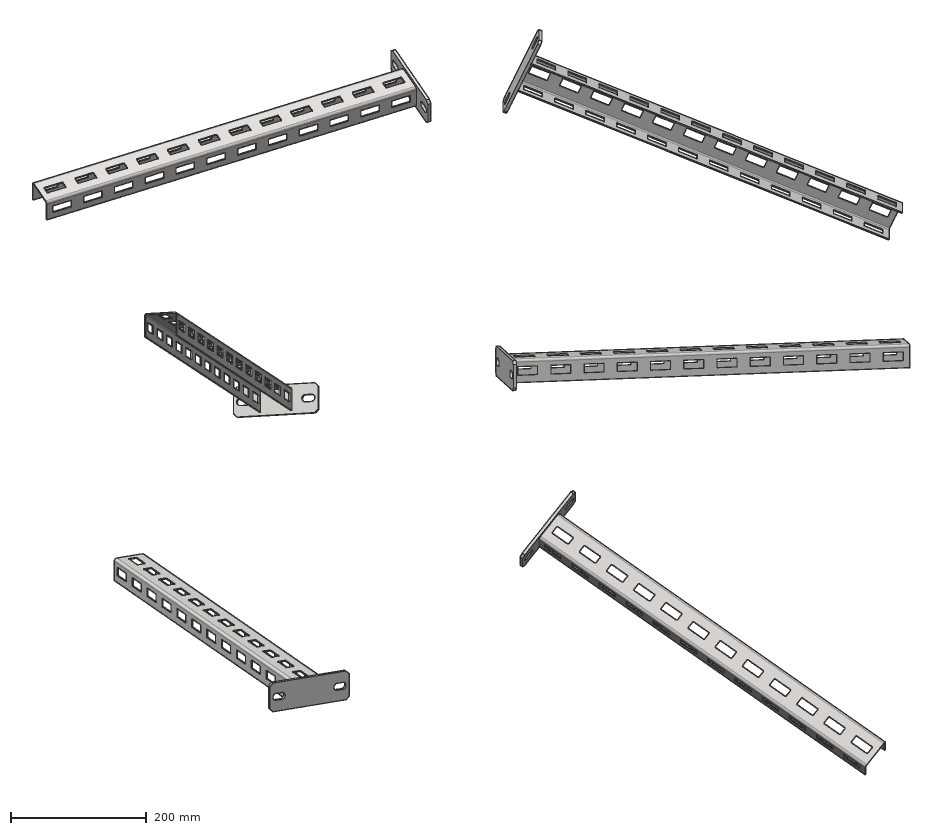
import cadquery as cq


PLATE_WIDTH = 130.0
PLATE_HEIGHT = 45.0
PLATE_THICKNESS = 5.0
PLATE_CORNER_CHAMFER = 5.0
MOUNT_SLOT_SPACING = 100.0
MOUNT_SLOT_LENGTH = 20.0
MOUNT_SLOT_HEIGHT = 11.0

ARM_LENGTH = 600.0
ARM_WIDTH = 50.0
ARM_HEIGHT = 35.0
SHEET_THICKNESS = 2.0
BEND_OUTER_RADIUS = 4.0
BEND_INNER_RADIUS = BEND_OUTER_RADIUS - SHEET_THICKNESS

SLOT_COUNT = 12
SLOT_PITCH = ARM_LENGTH / SLOT_COUNT
SLOT_LENGTH = 30.0
SLOT_WIDTH = 13.0
SLOT_CORNER_RADIUS = 1.0


def make_wall_plate():
    """Flat plate with cut corners and a mounting slot on each side of the arm."""
    plate = (
        cq.Workplane("XY")
        .box(PLATE_WIDTH, PLATE_THICKNESS, PLATE_HEIGHT)
        .translate((0, PLATE_THICKNESS / 2, 0))
        .edges("|Y")
        .chamfer(PLATE_CORNER_CHAMFER)
    )
    mount_slots = (
        cq.Workplane("XZ")
        .rarray(MOUNT_SLOT_SPACING, 1, 2, 1)
        .slot2D(MOUNT_SLOT_LENGTH, MOUNT_SLOT_HEIGHT)
        .extrude(-PLATE_THICKNESS)
    )
    return plate.cut(mount_slots)


def rounded_bar(width, bottom, top, bend_radius):
    """Bar as long as the arm, with its two top edges rounded."""
    height = top - bottom
    return (
        cq.Workplane("XY")
        .box(width, ARM_LENGTH, height)
        .translate((0, -ARM_LENGTH / 2, (top + bottom) / 2))
        .edges("|Y and >Z")
        .fillet(bend_radius)
    )


def slot_cutters(size_x, size_z, centre_z, punch_direction):
    """One row of rounded slots, a slot in the middle of every pitch along the arm."""
    slot = (
        cq.Workplane("XY")
        .box(size_x, SLOT_LENGTH, size_z)
        .edges(punch_direction)
        .fillet(SLOT_CORNER_RADIUS)
    )
    cutters = []
    for index in range(SLOT_COUNT):
        slot_y = -SLOT_PITCH * (index + 0.5)
        cutters.append(slot.translate((0, slot_y, centre_z)))
    return cutters


def make_arm():
    """Bent sheet channel with slots through its web and both flanges."""
    bottom = -ARM_HEIGHT / 2
    top = ARM_HEIGHT / 2
    outside = rounded_bar(ARM_WIDTH, bottom, top, BEND_OUTER_RADIUS)
    inside = rounded_bar(ARM_WIDTH - 2 * SHEET_THICKNESS, bottom, top - SHEET_THICKNESS, BEND_INNER_RADIUS)
    arm = outside.cut(inside)

    web_slots = slot_cutters(SLOT_WIDTH, 2 * SHEET_THICKNESS, top, "|Z")
    flange_slots = slot_cutters(ARM_WIDTH, SLOT_WIDTH, 0, "|X")
    for cutter in web_slots + flange_slots:
        arm = arm.cut(cutter)
    return arm


wall_plate = make_wall_plate()
arm = make_arm()

result = cq.Compound.makeCompound([wall_plate.val(), arm.val()])